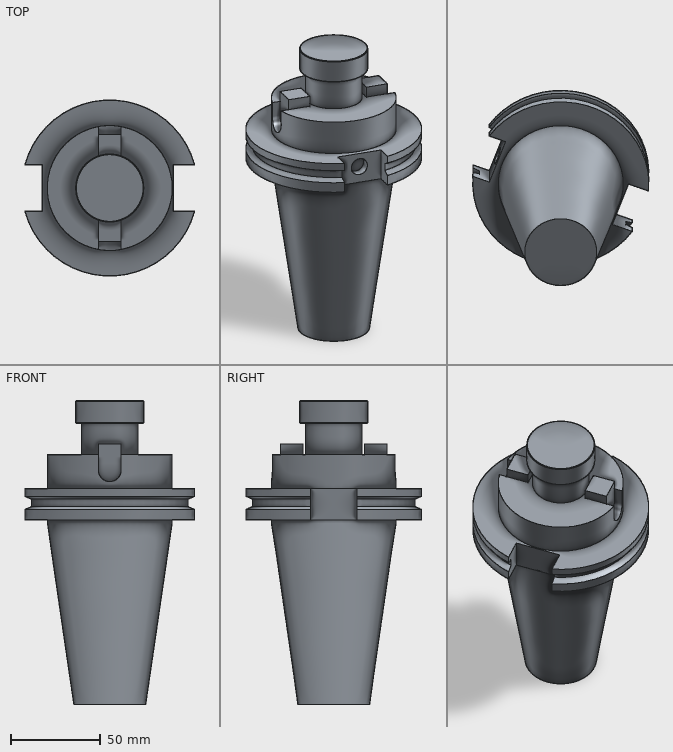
import cadquery as cq

INCH = 25.4

taper_length = 4 * INCH
flange_bottom = INCH / 16
flange_top = 0.75 * INCH
collar_top = 1.5 * INCH
pilot_height = 11 / 16 * INCH
pilot_top = collar_top + pilot_height

gauge_dia = 2.75 * INCH
taper_ratio = 7 / 24
taper_small_dia = gauge_dia - taper_ratio * taper_length

flange_dia = 3.875 * INCH
groove_center = 11.07
groove_mouth_width = 7.4
groove_floor_width = 4.1
groove_depth = 3.6
groove_floor_radius = flange_dia / 2 - groove_depth
groove_floor_half = groove_floor_width / 2
groove_mouth_half = groove_mouth_width / 2

drive_slot_width = 1.02 * INCH
drive_floor_left = 37.75
drive_floor_right = 1.4 * INCH
drive_hole_dia = 9.6
drive_hole_depth = 5.5

pilot_dia = 1.25 * INCH
screw_head_dia = 1.5 * INCH
screw_head_height = 0.5 * INCH
screw_head_chamfer = 0.4

key_width = 0.5 * INCH
key_length = 0.5 * INCH
key_inner_face = 17.1
key_rise = 6
key_seat_depth = 15.1
key_top = collar_top + key_rise
key_bottom = collar_top - key_seat_depth


def make_revolved_holder():
    """Taper shank, grooved flange, collar and pilot turned about Z."""
    flange_radius = flange_dia / 2
    collar_radius = gauge_dia / 2
    return (
        cq.Workplane("XZ")
        .moveTo(0, -taper_length)
        .lineTo(taper_small_dia / 2, -taper_length)
        .lineTo(collar_radius, 0)
        .lineTo(collar_radius, flange_bottom)
        .lineTo(flange_radius, flange_bottom)
        .lineTo(flange_radius, groove_center - groove_mouth_half)
        .lineTo(groove_floor_radius, groove_center - groove_floor_half)
        .lineTo(groove_floor_radius, groove_center + groove_floor_half)
        .lineTo(flange_radius, groove_center + groove_mouth_half)
        .lineTo(flange_radius, flange_top)
        .lineTo(collar_radius, flange_top)
        .lineTo(collar_radius, collar_top)
        .lineTo(pilot_dia / 2, collar_top)
        .lineTo(pilot_dia / 2, pilot_top)
        .lineTo(0, pilot_top)
        .close()
        .revolve(360, (0, 0, 0), (0, 1, 0))
    )


def make_drive_slot(side, floor_distance):
    """Cutter for a flange drive slot; side is -1 for -X and +1 for +X."""
    cut_length = flange_dia / 2
    slot_center = side * (floor_distance + cut_length / 2)
    return (
        cq.Workplane("XY", origin=(slot_center, 0, flange_bottom))
        .rect(cut_length, drive_slot_width)
        .extrude(flange_top - flange_bottom)
    )


def make_drive_hole():
    """Cutter for the blind hole in the floor of the -X drive slot."""
    return (
        cq.Workplane("YZ", origin=(-drive_floor_left, 0, groove_center))
        .circle(drive_hole_dia / 2)
        .extrude(drive_hole_depth)
    )


def make_round_bottomed_block(side, length):
    """Upright block with a half-round bottom, running outward in Y from the key's inner face.

    side is -1 for the key at -Y and +1 for the key at +Y.
    """
    half_width = key_width / 2
    arc_center = key_bottom + half_width
    return (
        cq.Workplane("XZ", origin=(0, side * key_inner_face, 0))
        .moveTo(-half_width, key_top)
        .lineTo(-half_width, arc_center)
        .threePointArc((0, key_bottom), (half_width, arc_center))
        .lineTo(half_width, key_top)
        .close()
        .extrude(-side * length)
    )


def make_key(side):
    """Drive key, set back from the outside of the collar."""
    return make_round_bottomed_block(side, key_length)


def make_key_slot(side):
    """Cutter for the key seat, open at the outside of the collar."""
    return make_round_bottomed_block(side, gauge_dia / 2 - key_inner_face)


def make_holder():
    body = make_revolved_holder()
    body = body.cut(make_drive_slot(-1, drive_floor_left))
    body = body.cut(make_drive_slot(1, drive_floor_right))
    body = body.cut(make_drive_hole())
    for side in (-1, 1):
        body = body.cut(make_key_slot(side))
    return body


def make_lock_screw():
    """Round screw head with both rims broken."""
    return (
        cq.Workplane("XY", origin=(0, 0, pilot_top))
        .circle(screw_head_dia / 2)
        .extrude(screw_head_height)
        .edges()
        .chamfer(screw_head_chamfer)
    )


holder = make_holder()
lock_screw = make_lock_screw()
keys = [make_key(side) for side in (-1, 1)]

result = cq.Compound.makeCompound([holder.val(), lock_screw.val(), *[key.val() for key in keys]])